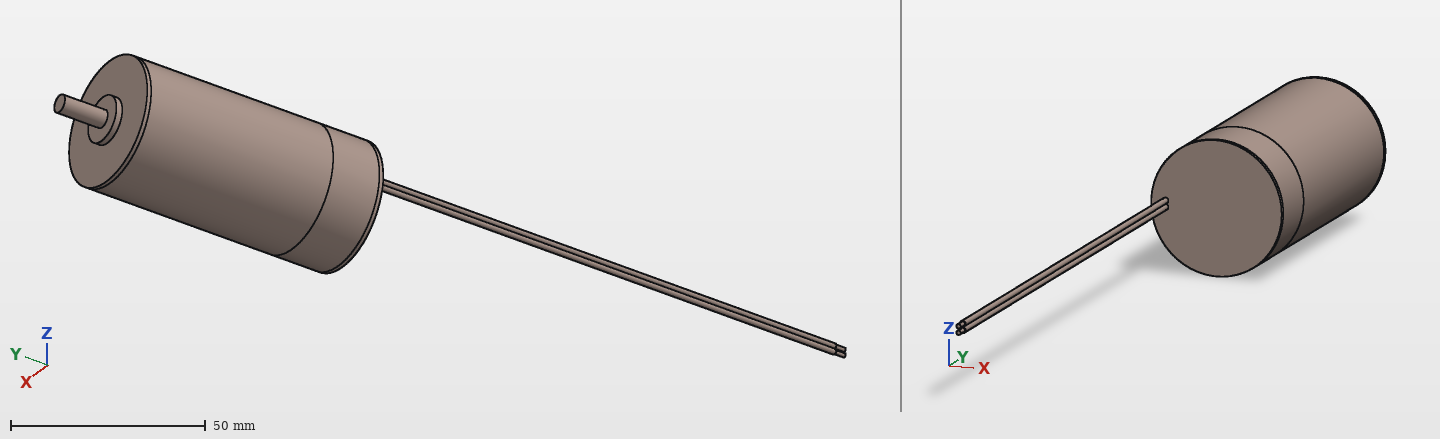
import cadquery as cq

motor_diameter = 36.0
motor_length = 73.0
end_plate_thickness = 1.2
rear_section_length = 15.5

boss_diameter = 13.0
boss_height = 1.8
shaft_diameter = 5.0
shaft_reach = 15.0

lead_length = 145.3
bare_length = 3.0
insulation_diameter = 1.6
conductor_diameter = 1.2
lead_spacing = 1.7
lead_x = -14.0

front_y = 0.0
front_plate_back_y = front_y - end_plate_thickness
rear_y = front_y - motor_length
rear_cover_front_y = rear_y + end_plate_thickness
can_seam_y = rear_y + rear_section_length
boss_front_y = front_y + boss_height
shaft_tip_y = front_y + shaft_reach
lead_tip_y = rear_y - lead_length
insulation_end_y = lead_tip_y + bare_length


def rod(diameter, y_start, y_end, x=0.0, z=0.0):
    """Round rod parallel to Y, running rearward from y_start to y_end."""
    start_plane = cq.Plane(origin=(x, y_start, z), xDir=(1, 0, 0), normal=(0, -1, 0))
    return cq.Workplane(start_plane).circle(diameter / 2).extrude(y_start - y_end)


def make_front_plate():
    return rod(motor_diameter, front_y, front_plate_back_y)


def make_front_can():
    return rod(motor_diameter, front_plate_back_y, can_seam_y)


def make_rear_can():
    return rod(motor_diameter, can_seam_y, rear_cover_front_y)


def make_rear_cover():
    return rod(motor_diameter, rear_cover_front_y, rear_y)


def make_shaft():
    return rod(shaft_diameter, shaft_tip_y, front_y)


def make_boss():
    """Ring around the shaft, standing on the front plate."""
    shaft_hole = rod(shaft_diameter, boss_front_y, front_y)
    return rod(boss_diameter, boss_front_y, front_y).cut(shaft_hole)


def make_insulation(z):
    return rod(insulation_diameter, rear_y, insulation_end_y, lead_x, z)


def make_conductor(z):
    """Bare wire end beyond the insulation."""
    return rod(conductor_diameter, insulation_end_y, lead_tip_y, lead_x, z)


front_plate = make_front_plate()
front_can = make_front_can()
rear_can = make_rear_can()
rear_cover = make_rear_cover()
boss = make_boss()
shaft = make_shaft()

insulations = []
conductors = []
for lead_z in (lead_spacing / 2, -lead_spacing / 2):
    insulations.append(make_insulation(lead_z).val())
    conductors.append(make_conductor(lead_z).val())

result = cq.Compound.makeCompound([
    front_plate.val(),
    front_can.val(),
    rear_can.val(),
    rear_cover.val(),
    boss.val(),
    shaft.val(),
    *insulations,
    *conductors,
])